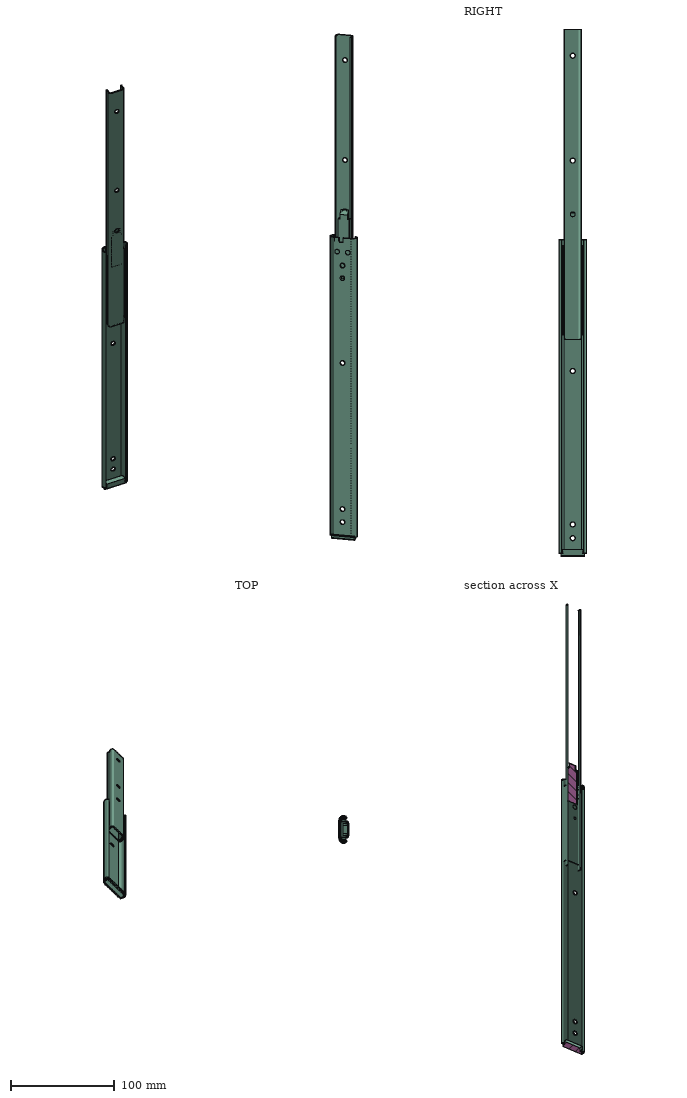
import cadquery as cq
import math

length = 510.5
slide_depth = 9.5
slide_width = 27.0
sheet = 1.2

outer_bottom = 3.0
outer_top = 307.0
outer_depth = 8.0
outer_web_width = 17.0
raceway_start = 1.5
raceway_width = 24.0
raceway_crest = 4.5
bend_bulge = 0.3
web_relief_top = 4.5
web_relief_depth = 1.5
hole_diameter = 4.5
outer_hole_heights = (18.0, 31.0, 179.5, 278.5)
countersink_height = 266.0
countersink_bore = 2.5
notch_bottom = 302.0
notch_low_y = -0.5
notch_high_y = 3.0
corner_cut_low_y = 4.0
corner_cut_high_y = 8.0
corner_cut_bottom = 303.0
corner_cut_depth = 0.75

rivet_spacing = 10.5
rivet_height = 292.5

inner_front = 2.5
inner_width = 17.0
inner_bottom = 210.5
inner_bend = 2.5
inner_cavity_width = 14.5
inner_cavity_bend = 1.0
groove_radius = 1.8
groove_slope = 30.0
inner_hole_heights = (383.5, 485.0)
latch_hole_height = 331.0

cage_sheet = 0.6
cage_front = 1.5
cage_back = 7.0
cage_width = 20.5
cage_bend = 2.0
cage_bottom = 214.5
cage_top = 301.0

latch_front = 4.0
latch_width = 11.0
latch_bottom = 286.0
latch_shoulder = 324.5
latch_neck_width = 7.5
latch_top = 333.0
latch_ramp = 3.5

plug_front = 2.0
plug_back = 7.0
plug_width = 19.5
plug_top = 7.0
foot_front = 1.0
foot_back = 7.0
foot_width = 23.0
foot_chamfer = 1.0


def block(x_range, y_range, z_range):
    """A box between the given limits on each axis."""
    (x0, x1), (y0, y1), (z0, z1) = x_range, y_range, z_range
    return cq.Workplane("XY").box(x1 - x0, y1 - y0, z1 - z0, centered=False).translate((x0, y0, z0))


def centered_block(x_range, width, z_range):
    """A box of the given width, centred on Y."""
    return block(x_range, (-width / 2, width / 2), z_range)


def web_cylinder(web_x, diameter, y, z):
    """A cylinder along X that just fills the thickness of a web starting at web_x."""
    return cq.Workplane("YZ", origin=(web_x, y, z)).circle(diameter / 2).extrude(sheet)


def rivet_places():
    return [(side * rivet_spacing / 2, rivet_height) for side in (-1, 1)]


def build_rivet(y, z):
    return web_cylinder(0, hole_diameter, y, z)


def mirrored_bar(half_outline, bottom, top):
    """A bar along Z from its +Y half outline, a workplane path that starts and ends on Y = 0."""
    bar = half_outline.close().extrude(top - bottom).translate((0, 0, bottom))
    return bar.union(bar.mirror("XZ"))


def build_outer_profile():
    """The bent sheet: web, bend and raceway arc on each side, as one bar with its inside removed."""
    web_y = outer_web_width / 2
    start_y = raceway_width / 2
    crest_y = slide_width / 2
    start_run = raceway_crest - raceway_start
    lip_run = outer_depth - raceway_crest
    sag = crest_y - start_y
    radius = (start_run**2 + sag**2) / (2 * sag)
    center_y = crest_y - radius
    lip_y = center_y + math.sqrt(radius**2 - lip_run**2)
    shrink = (radius - sheet) / radius
    inside_start = (raceway_crest - start_run * shrink, center_y + (start_y - center_y) * shrink)
    inside_lip = (raceway_crest + lip_run * shrink, center_y + (lip_y - center_y) * shrink)
    bend_middle = (raceway_start / 2 - bend_bulge, (web_y + start_y) / 2 + bend_bulge)
    outside = (
        cq.Workplane("XY")
        .lineTo(0, web_y)
        .threePointArc(bend_middle, (raceway_start, start_y))
        .threePointArc((raceway_crest, crest_y), (outer_depth, lip_y))
        .lineTo(outer_depth, 0)
    )
    inside = (
        cq.Workplane("XY")
        .moveTo(sheet, 0)
        .lineTo(sheet, web_y)
        .lineTo(*inside_start)
        .threePointArc((raceway_crest, crest_y - sheet), inside_lip)
        .lineTo(outer_depth, lip_y)
        .lineTo(outer_depth, 0)
    )
    bar = mirrored_bar(outside, outer_bottom, outer_top)
    return bar.cut(mirrored_bar(inside, outer_bottom, outer_top))


def build_outer_rail():
    rail = build_outer_profile()
    rail = rail.cut(centered_block((0, web_relief_depth), slide_width, (outer_bottom, web_relief_top)))
    for z in outer_hole_heights:
        rail = rail.cut(web_cylinder(0, hole_diameter, 0, z))
    for y, z in rivet_places():
        rail = rail.cut(web_cylinder(0, hole_diameter, y, z))
    countersink = (
        cq.Workplane("YZ", origin=(0, 0, countersink_height))
        .circle(hole_diameter / 2)
        .workplane(offset=sheet)
        .circle(countersink_bore / 2)
        .loft(ruled=True)
    )
    notch = block((0, sheet), (notch_low_y, notch_high_y), (notch_bottom, outer_top))
    corner_cut = (
        cq.Workplane("XZ", origin=(0, corner_cut_high_y, 0))
        .moveTo(0, corner_cut_bottom)
        .lineTo(corner_cut_depth, outer_top)
        .lineTo(0, outer_top)
        .close()
        .extrude(corner_cut_high_y - corner_cut_low_y)
    )
    return rail.cut(countersink).cut(notch).cut(corner_cut)


def build_inner_rail():
    """A channel whose side grooves run smoothly into the bends beside the web."""
    web_x = slide_depth - sheet
    half = inner_width / 2
    bend_x = slide_depth - inner_bend
    bend_y = half - inner_bend
    slope = math.radians(groove_slope)
    join = (bend_x - inner_bend * math.sin(slope), bend_y + inner_bend * math.cos(slope))
    groove_x = join[0] - groove_radius * math.sin(slope)
    groove_y = join[1] + groove_radius * math.cos(slope)
    groove_start = groove_x - math.sqrt(groove_radius**2 - (groove_y - half) ** 2)
    bend_middle = (bend_x + inner_bend * math.sqrt(0.5), bend_y + inner_bend * math.sqrt(0.5))
    outline = (
        cq.Workplane("XY")
        .moveTo(inner_front, 0)
        .lineTo(inner_front, half)
        .lineTo(groove_start, half)
        .threePointArc((groove_x, groove_y - groove_radius), join)
        .threePointArc(bend_middle, (slide_depth, bend_y))
        .lineTo(slide_depth, 0)
    )
    bar = mirrored_bar(outline, inner_bottom, length)
    cavity = centered_block((inner_front, web_x), inner_cavity_width, (inner_bottom, length))
    rail = bar.cut(cavity.edges("|Z and >X").fillet(inner_cavity_bend))
    for z in (latch_hole_height, *inner_hole_heights):
        rail = rail.cut(web_cylinder(web_x, hole_diameter, 0, z))
    return rail


def build_cage():
    """A thin U-shaped sheet with its web next to the outer rail."""
    outside = centered_block((cage_front, cage_back), cage_width, (cage_bottom, cage_top))
    cavity_width = cage_width - 2 * cage_sheet
    cavity = centered_block((cage_front + cage_sheet, cage_back), cavity_width, (cage_bottom, cage_top))
    outside = outside.edges("|Z and <X").fillet(cage_bend)
    return outside.cut(cavity.edges("|Z and <X").fillet(cage_bend - cage_sheet))


def build_latch():
    """A block on the inner web with a narrower neck whose top slopes down towards -X."""
    back = slide_depth - sheet
    body = centered_block((latch_front, back), latch_width, (latch_bottom, latch_shoulder))
    neck = (
        cq.Workplane("XZ", origin=(0, latch_neck_width / 2, 0))
        .moveTo(latch_front, latch_shoulder)
        .lineTo(back, latch_shoulder)
        .lineTo(back, latch_top)
        .lineTo(latch_front, latch_top - latch_ramp)
        .close()
        .extrude(latch_neck_width)
    )
    return body.union(neck)


def build_bumper():
    """A plug inside the outer rail on a wider foot with bevelled lower edges."""
    foot = centered_block((foot_front, foot_back), foot_width, (0, outer_bottom))
    foot = foot.faces("<Z").edges("|Y").chamfer(foot_chamfer)
    plug = centered_block((plug_front, plug_back), plug_width, (outer_bottom, plug_top))
    return foot.union(plug)


outer_rail = build_outer_rail()
inner_rail = build_inner_rail()
cage = build_cage()
latch = build_latch()
bumper = build_bumper()
rivets = [build_rivet(y, z) for y, z in rivet_places()]

result = cq.Compound.makeCompound(
    [
        outer_rail.val(),
        inner_rail.val(),
        cage.val(),
        latch.val(),
        bumper.val(),
        *[rivet.val() for rivet in rivets],
    ]
)